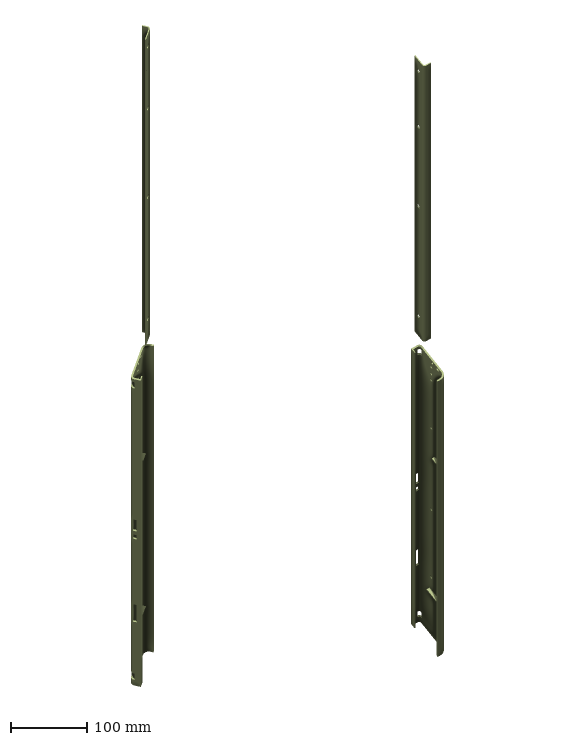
import cadquery as cq

rail_length = 650.0
overall_height = 1359.99
upper_bottom = overall_height - rail_length
cut_depth = 50.0

lower_wall = 2.5
lower_width = 62.5
lower_depth = 14.5
half_width = lower_width / 2
top_bend = 10.5
bottom_bend = 5.0
lip_wall = 1.5
lip_height = 8.0

hole_y = -2.0
hole_diameter = 5.0
hole_heights = [137.0, 297.0, 489.0, 602.0, 617.0, 633.0]
top_openings = [(645.0, 12.5, 4.0, 5.0), (645.0, 0.5, 4.0, 4.0)]

lance_top_y = 19.0
lance_height = 6.0
lance_reach = 7.0
lances = [(426.0, 12.5), (102.0, 25.0)]

flange_slots = [(135.0, 172.0), (311.0, 320.0), (328.0, 352.0)]
flange_slot_start = 4.0
flange_slot_width = 4.5
notch_height = 13.0
notch_size = 6.0
notch_centres = [18.5, 637.0]

upper_wall = 1.5
upper_left = 6.5
upper_right = 18.0
upper_top = 3.3
upper_low = -18.5
upper_bend = 4.0
upper_hole_diameter = 7.0
upper_hole_y = -9.5
upper_hole_heights = [757.0, 1016.0, 1204.0, 1335.0]


def box_between(x0, x1, y0, y1, z0, z1):
    """Box given by its limits along each axis."""
    return cq.Workplane("XY").box(x1 - x0, y1 - y0, z1 - z0, centered=False).translate((x0, y0, z0))


def web_cutter(z, y, height, width):
    """Rectangular cutter through the lower rail's web."""
    return box_between(
        -lower_wall, 2 * lower_wall, y - width / 2, y + width / 2, z - height / 2, z + height / 2
    )


def x_drill(diameter, y, z):
    """Round cutter along +X."""
    return cq.Workplane("YZ").center(y, z).circle(diameter / 2).extrude(cut_depth)


def channel_section():
    """Lower rail's C section with its lip, extruded to the rail's length."""
    inner_half = half_width - lower_wall
    lip_inner_x = lower_depth - lip_wall
    lip_top = -half_width + lip_height
    channel = (
        cq.Workplane("XY")
        .moveTo(lower_depth, half_width)
        .lineTo(top_bend, half_width)
        .radiusArc((0, half_width - top_bend), -top_bend)
        .lineTo(0, -half_width + bottom_bend)
        .radiusArc((bottom_bend, -half_width), -bottom_bend)
        .lineTo(lower_depth, -half_width)
        .lineTo(lower_depth, lip_top)
        .lineTo(lip_inner_x, lip_top)
        .lineTo(lip_inner_x, -inner_half)
        .lineTo(bottom_bend, -inner_half)
        .radiusArc((lower_wall, -half_width + bottom_bend), bottom_bend - lower_wall)
        .lineTo(lower_wall, half_width - top_bend)
        .radiusArc((top_bend, inner_half), top_bend - lower_wall)
        .lineTo(lower_depth, inner_half)
        .close()
        .extrude(rail_length)
    )
    return channel


def make_lower_rail():
    rail = channel_section()
    for z, y, height, width in top_openings:
        rail = rail.cut(web_cutter(z, y, height, width))
    for z in hole_heights:
        rail = rail.cut(x_drill(hole_diameter, hole_y, z))

    for z, width in lances:
        y_centre = lance_top_y - width / 2
        rail = rail.cut(web_cutter(z, y_centre, lance_height, width))
        tongue_bottom = z + lance_height / 2
        tongue = box_between(
            0, lance_reach, lance_top_y - width, lance_top_y, tongue_bottom, tongue_bottom + lower_wall
        )
        rail = rail.union(tongue)

    slot_end = flange_slot_start + flange_slot_width
    for z0, z1 in flange_slots:
        slot = box_between(
            flange_slot_start, slot_end, -half_width - lower_wall, -half_width + 2 * lower_wall, z0, z1
        )
        rail = rail.cut(slot)

    notch_edge_y = -half_width + notch_size
    for z in notch_centres:
        notch = box_between(
            0, notch_size, -half_width, notch_edge_y, z - notch_height / 2, z + notch_height / 2
        )
        rail = rail.cut(notch)
    return rail


def make_upper_rail():
    inner_bend = upper_bend - upper_wall
    rail = (
        cq.Workplane("XY", origin=(0, 0, upper_bottom))
        .moveTo(upper_left, upper_top)
        .lineTo(upper_right - upper_bend, upper_top)
        .radiusArc((upper_right, upper_top - upper_bend), upper_bend)
        .lineTo(upper_right, upper_low)
        .lineTo(upper_right - upper_wall, upper_low)
        .lineTo(upper_right - upper_wall, upper_top - upper_bend)
        .radiusArc((upper_right - upper_bend, upper_top - upper_wall), -inner_bend)
        .lineTo(upper_left, upper_top - upper_wall)
        .close()
        .extrude(rail_length)
    )
    for z in upper_hole_heights:
        rail = rail.cut(x_drill(upper_hole_diameter, upper_hole_y, z))
    return rail


lower_rail = make_lower_rail()
upper_rail = make_upper_rail()
result = cq.Compound.makeCompound([lower_rail.val(), upper_rail.val()])